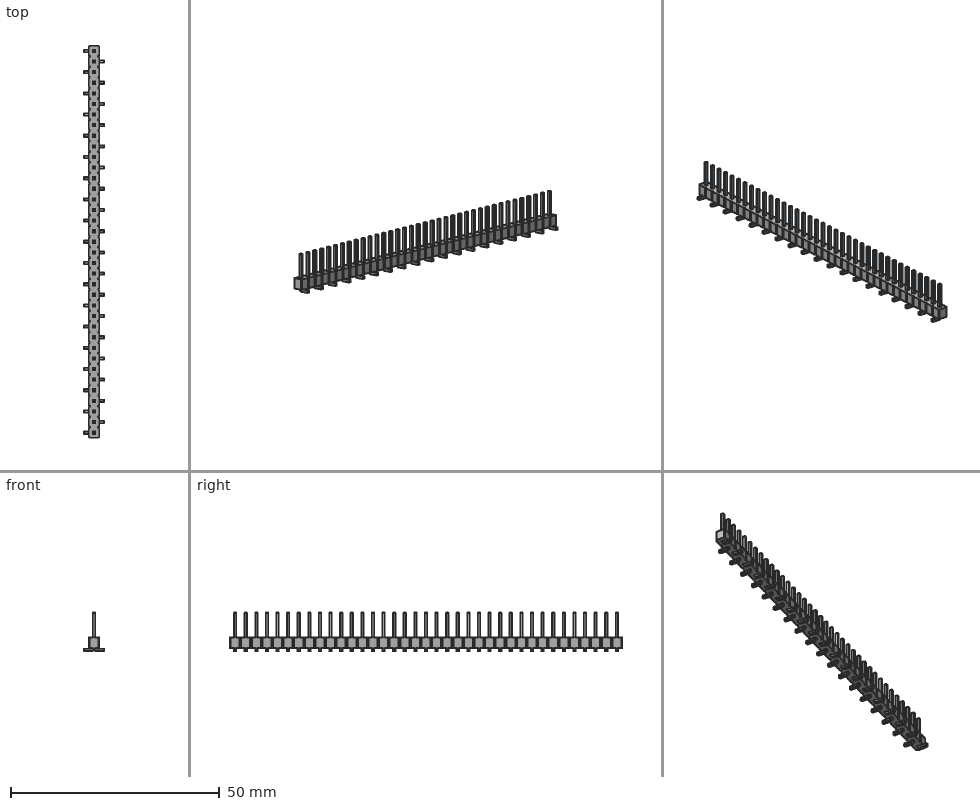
import cadquery as cq

pin_count = 37
pitch = 2.54
strip_length = pin_count * pitch

body_width = 2.54
body_height = 2.54
body_bottom = 0.76
notch_depth = 0.3
notch_half_width = 0.25

pin_size = 0.64
pin_top = 9.3
foot_reach = 2.5
inner_bend_radius = 0.35
tip_length = 0.2
tip_inset = 0.16


def pin_position(index):
    """Y coordinate of a pin."""
    return (index - (pin_count - 1) / 2) * pitch


def body_side_points():
    """Points along the +X side of the body, from the -Y end to the +Y end."""
    outer_x = body_width / 2
    notch_x = outer_x - notch_depth
    half_flat = pitch / 2 - notch_half_width
    points = [(notch_x, -strip_length / 2)]
    for index in range(pin_count):
        y = pin_position(index)
        points.append((outer_x, y - half_flat))
        points.append((outer_x, y + half_flat))
        points.append((notch_x, y + pitch / 2))
    return points


def make_body():
    """A bar with V-notches in both long sides and matching bevels at its ends."""
    right_side = body_side_points()
    left_side = [(-x, y) for x, y in reversed(right_side)]
    return (
        cq.Workplane("XY")
        .workplane(offset=body_bottom)
        .polyline(right_side + left_side)
        .close()
        .extrude(body_height)
    )


def make_tip(base_plane):
    """A tapered square tip that rises from the given plane."""
    tip_size = pin_size - 2 * tip_inset
    return (
        cq.Workplane(base_plane)
        .rect(pin_size, pin_size)
        .workplane(offset=tip_length)
        .rect(tip_size, tip_size)
        .loft()
    )


def make_pin():
    """One L-shaped pin at Y = 0 with its foot towards -X and both ends tapered."""
    half = pin_size / 2
    outer_bend_radius = inner_bend_radius + pin_size
    bend_x = half - outer_bend_radius
    shank_top = pin_top - tip_length
    foot_end = tip_length - foot_reach
    shank = (
        cq.Workplane("XZ")
        .moveTo(foot_end, 0)
        .lineTo(bend_x, 0)
        .radiusArc((half, outer_bend_radius), -outer_bend_radius)
        .lineTo(half, shank_top)
        .lineTo(-half, shank_top)
        .lineTo(-half, outer_bend_radius)
        .radiusArc((bend_x, pin_size), inner_bend_radius)
        .lineTo(foot_end, pin_size)
        .close()
        .extrude(half, both=True)
    )
    upper_tip = make_tip(cq.Plane(origin=(0, 0, shank_top)))
    foot_tip = make_tip(cq.Plane(origin=(foot_end, 0, half), xDir=(0, 1, 0), normal=(-1, 0, 0)))
    return shank.union(upper_tip).union(foot_tip)


def make_pins():
    """All pins of the strip, with their feet on alternating sides."""
    left_pin = make_pin().val()
    right_pin = left_pin.rotate(cq.Vector(0, 0, 0), cq.Vector(0, 0, 1), 180)
    pins = []
    for index in range(pin_count):
        pin = left_pin if index % 2 == 0 else right_pin
        pins.append(pin.translate(cq.Vector(0, pin_position(index), 0)))
    return pins


strip = make_body().val().fuse(*make_pins())
result = cq.Workplane("XY").newObject(strip.Solids())